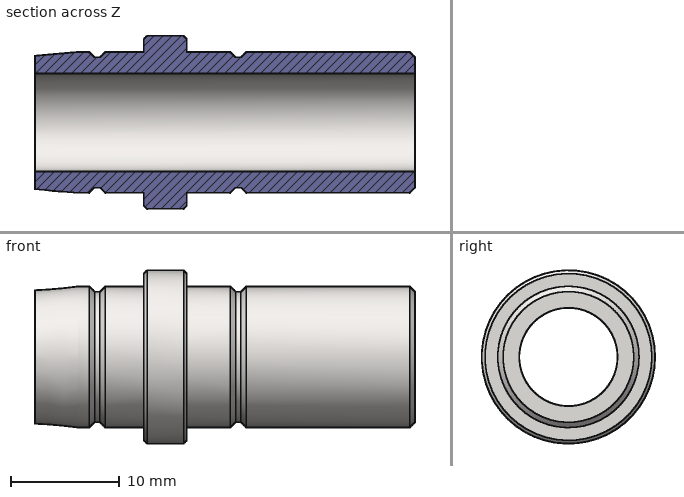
import cadquery as cq

length = 35.0
body_radius = 6.5
bore_radius = 4.5

nose_length = 3.95
nose_drop = 0.35

collar_start = 10.0
collar_width = 4.0
collar_diameter = 16.0
collar_chamfer = 0.3

groove_starts = (5.0, 18.0)
groove_depth = 0.5
groove_floor_width = 0.5

tail_chamfer = 0.5


def cylinder(start, width, radius):
    """Solid cylinder along X."""
    return cq.Workplane("YZ").workplane(offset=start).circle(radius).extrude(width)


def make_body():
    """Round body with the tapered nose and the chamfered tail."""
    return (
        cq.Workplane("XY")
        .lineTo(0, body_radius - nose_drop)
        .lineTo(nose_length, body_radius)
        .lineTo(length - tail_chamfer, body_radius)
        .lineTo(length, body_radius - tail_chamfer)
        .lineTo(length, 0)
        .close()
        .revolve(360, (0, 0, 0), (1, 0, 0))
    )


def make_collar():
    """Collar with both outer edges chamfered."""
    collar = cylinder(collar_start, collar_width, collar_diameter / 2)
    return collar.edges().chamfer(collar_chamfer)


def make_groove(start):
    """Ring of material to remove for one groove."""
    floor_radius = body_radius - groove_depth
    floor_start = start + groove_depth
    floor_end = floor_start + groove_floor_width
    return (
        cq.Workplane("XY")
        .moveTo(start, body_radius)
        .lineTo(floor_start, floor_radius)
        .lineTo(floor_end, floor_radius)
        .lineTo(floor_end + groove_depth, body_radius)
        .close()
        .revolve(360, (0, 0, 0), (1, 0, 0))
    )


result = make_body().union(make_collar())
for groove_start in groove_starts:
    result = result.cut(make_groove(groove_start))
result = result.cut(cylinder(0, length, bore_radius))